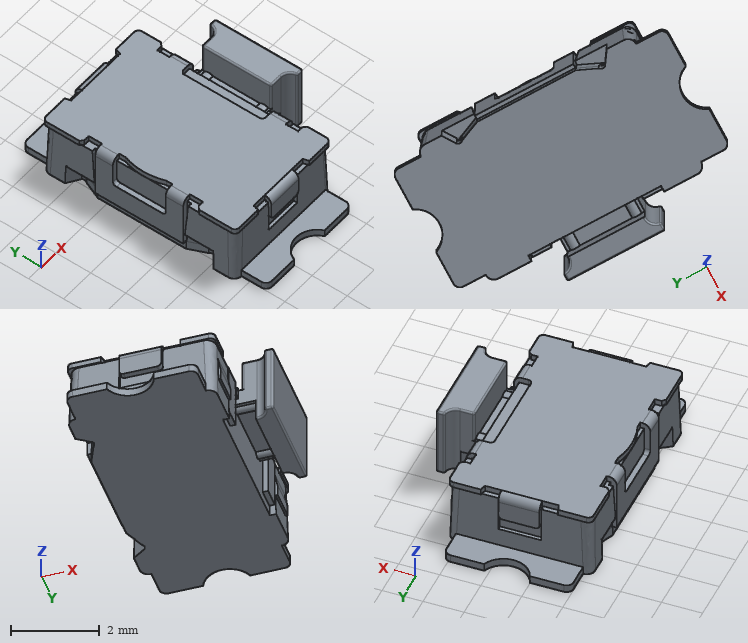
import cadquery as cq
import math


PLATE_WIDTH = 3.1
PLATE_LENGTH = 7.0
PLATE_THICKNESS = 0.2
PLATE_CORNER = 0.17
NOTCH_RADIUS = 0.6
NOTCH_DEPTH = 0.38

BODY_WIDTH = 3.52
BODY_LENGTH = 5.52
BODY_TOP_WIDTH = 3.44
BODY_TOP_LENGTH = 5.46
BODY_TOP = 1.56
BODY_CORNER = 0.21
BODY_TOP_CORNER = 0.24

SHEET = 0.15
COVER_TOP = BODY_TOP + SHEET
COVER_BACK = -1.76
COVER_FRONT = 1.74
COVER_LENGTH = 5.53
COVER_CORNER = 0.13
BEND_RADIUS = 0.2

CLIP_WIDTH = 1.0
CLIP_BOTTOM = 1.02
CLIP_OUTER_Y = 2.8
CLIP_CORNER = 0.1
CLIP_POCKET_WIDTH = 1.04
CLIP_POCKET_BOTTOM = 0.66
CLIP_RELIEF_INNER_HALF = 0.9
CLIP_RELIEF_OUTER_HALF = 0.94
CLIP_RELIEF_DEPTH = 0.155

FLAP_WIDTH = 2.52
FLAP_BOTTOM = 0.26
WINDOW_WIDTH = 1.51
WINDOW_BOTTOM = 0.88
WINDOW_CORNER = 0.1
BULGE_HALF = 0.58
BULGE_HEIGHT = 0.1
BACK_RELIEF_X = -1.515
BACK_RELIEF_HALF = 1.63
RELIEF_CHAMFER = 0.085
FLAP_RECESS_TOP_HALF = 1.37
FLAP_RECESS_BOTTOM_HALF = 1.27

UNDERCUT_TOP = 0.57
UNDERCUT_MOUTH_HALF = 2.12
UNDERCUT_END_HALF = 1.9
UNDERCUT_BED_HALF = 1.745
UNDERCUT_BED_TOP_HALF = 1.85
UNDERCUT_END_SAG = 0.02
UNDERCUT_DEPTH = 0.33
SKIRT_X = -1.66
SKIRT_BED_DEPTH = 0.21
UNDERCUT_LEAN = 0.05

LEG_INNER_Y = 1.176
LEG_OUTER_Y = 1.665
LEG_BOTTOM = FLAP_BOTTOM
FRONT_RELIEF_X = 1.5
FRONT_RELIEF_HALF = 2.01
FRONT_RECESS_X = 1.61
FRONT_RECESS_HALF = 1.7
SLOT_X = 1.285
SLOT_CORNER = 0.1

LATCH_OUTER_Y = 2.43
LATCH_X = 1.795
LATCH_TOP_X = 1.66
LATCH_SHOULDER = 0.85
LATCH_BOTTOM = 0.57

HEAD_FRONT = 2.65
HEAD_HALF = 1.25
HEAD_RIM_X = 2.44
HEAD_BACK = 2.155
HEAD_BOTTOM = 0.495
HEAD_TOP = 2.28
NECK_BACK = 1.82
NECK_HALF = 0.99
NECK_BOTTOM = 1.04
HEAD_EDGE = 0.05
HEAD_END_EDGE = 0.045
STEM_TOP = 1.46
RIB_HALF = 0.12
RIB_Y = 0.79
RIB_TOP_HEIGHT = 0.04
RIB_BOTTOM_HEIGHT = 0.07
EAR_HALF = 1.12
EAR_FRONT = 1.74
EAR_BOTTOM = 1.21
EAR_TOP = 1.5

CUT_MARGIN = 0.5
DIAGONAL = math.sqrt(0.5)


def block(x_range, y_range, z_range):
    """Box given by its limits along each axis."""
    size = [high - low for low, high in (x_range, y_range, z_range)]
    return cq.Workplane("XY").box(*size, centered=False).translate((x_range[0], y_range[0], z_range[0]))


def span(half):
    return (-half, half)


def with_mirror(shape):
    """The shape together with its mirror image across the XZ plane."""
    return shape.union(shape.mirror("XZ"))


def prism(points, bottom, top):
    """Vertical prism over a plan polygon."""
    return cq.Workplane("XY").workplane(offset=bottom).polyline(points).close().extrude(top - bottom)


def bent_tab(width, outer, bottom):
    """Sheet strip leaving the cover along +X and bent down; its outer face is at x = outer."""
    inner = outer - SHEET
    tangent_x = outer - BEND_RADIUS
    tangent_z = COVER_TOP - BEND_RADIUS
    diagonal = BEND_RADIUS * DIAGONAL
    return (
        cq.Workplane("XZ")
        .moveTo(tangent_x, COVER_TOP)
        .threePointArc((tangent_x + diagonal, tangent_z + diagonal), (outer, tangent_z))
        .lineTo(outer, bottom)
        .lineTo(inner, bottom)
        .lineTo(inner, BODY_TOP)
        .lineTo(tangent_x, BODY_TOP)
        .close()
        .extrude(width / 2, both=True)
    )


def make_plate():
    plate = (
        cq.Workplane("XY")
        .rect(PLATE_WIDTH, PLATE_LENGTH)
        .extrude(PLATE_THICKNESS)
        .edges("|Z")
        .fillet(PLATE_CORNER)
    )
    notch_center = PLATE_LENGTH / 2 - NOTCH_DEPTH + NOTCH_RADIUS
    notch = cq.Workplane("XY").center(0, notch_center).circle(NOTCH_RADIUS).extrude(PLATE_THICKNESS)
    return plate.cut(with_mirror(notch))


def undercut_outline(workplane, bed_half, bed_depth):
    """Closed plan of the +Y undercut: slanted bed, rounded end, slanted leg wall."""
    mouth = -BODY_WIDTH / 2
    bed = SKIRT_X + bed_depth
    leg_foot = mouth + UNDERCUT_DEPTH
    round_end = (max(bed, leg_foot) + UNDERCUT_END_SAG, (bed_half + UNDERCUT_END_HALF) / 2)
    return (
        workplane.moveTo(mouth - CUT_MARGIN, FLAP_WIDTH / 2)
        .lineTo(SKIRT_X, FLAP_WIDTH / 2)
        .lineTo(bed, bed_half)
        .threePointArc(round_end, (leg_foot, UNDERCUT_END_HALF))
        .lineTo(mouth, UNDERCUT_MOUTH_HALF)
        .lineTo(mouth - CUT_MARGIN, UNDERCUT_MOUTH_HALF)
        .close()
    )


def make_undercut():
    """Pocket at the +Y side of the flap; its bed leans inward above the flap's lower edge."""
    upper_height = UNDERCUT_TOP - FLAP_BOTTOM
    ground = cq.Workplane("XY")
    lower = undercut_outline(ground, UNDERCUT_BED_HALF, SKIRT_BED_DEPTH).extrude(FLAP_BOTTOM)
    leaning = undercut_outline(
        ground.workplane(offset=FLAP_BOTTOM), UNDERCUT_BED_HALF, SKIRT_BED_DEPTH
    ).workplane(offset=upper_height)
    leaning = undercut_outline(
        leaning, UNDERCUT_BED_TOP_HALF, SKIRT_BED_DEPTH + UNDERCUT_LEAN
    ).loft(ruled=True)
    return lower.union(leaning)


def make_latch():
    """Wedge on the front wall, on the +Y side."""
    return (
        cq.Workplane("XZ", origin=(0, LATCH_OUTER_Y, 0))
        .moveTo(FRONT_RELIEF_X, BODY_TOP)
        .lineTo(LATCH_TOP_X, BODY_TOP)
        .lineTo(LATCH_X, LATCH_SHOULDER)
        .lineTo(LATCH_X, LATCH_BOTTOM)
        .lineTo(FRONT_RELIEF_X, LATCH_BOTTOM)
        .close()
        .extrude(LATCH_OUTER_Y - FRONT_RECESS_HALF)
    )


def make_body():
    bottom = cq.Sketch().rect(BODY_WIDTH, BODY_LENGTH).vertices().fillet(BODY_CORNER)
    top = cq.Sketch().rect(BODY_TOP_WIDTH, BODY_TOP_LENGTH).vertices().fillet(BODY_TOP_CORNER)
    body = cq.Workplane("XY").placeSketch(bottom, top.moved(cq.Location(cq.Vector(0, 0, BODY_TOP)))).loft()

    flap_recess = (
        cq.Workplane("YZ", origin=(COVER_BACK + SHEET, 0, 0))
        .polyline([
            (-FLAP_RECESS_BOTTOM_HALF, FLAP_BOTTOM),
            (FLAP_RECESS_BOTTOM_HALF, FLAP_BOTTOM),
            (FLAP_RECESS_TOP_HALF, BODY_TOP),
            (-FLAP_RECESS_TOP_HALF, BODY_TOP),
        ])
        .close()
        .extrude(-CUT_MARGIN)
    )
    front_recess = block(
        (FRONT_RECESS_X, FRONT_RECESS_X + CUT_MARGIN), span(FRONT_RECESS_HALF), (0, BODY_TOP))
    skirt_recess = block((SKIRT_X - CUT_MARGIN, SKIRT_X), span(FLAP_WIDTH / 2), (0, FLAP_BOTTOM))
    clip_pocket = block(
        span(CLIP_POCKET_WIDTH / 2),
        (CLIP_OUTER_Y - SHEET, CLIP_OUTER_Y + CUT_MARGIN),
        (CLIP_POCKET_BOTTOM, BODY_TOP),
    )
    recesses = (
        flap_recess,
        front_recess,
        skirt_recess,
        with_mirror(clip_pocket),
    )
    for recess in recesses:
        body = body.cut(recess)
    return body.union(with_mirror(make_latch()))


def side_relief(edge_x, inner_x, half):
    """Opening in a long edge of the cover, with chamfered ends; works for either edge."""
    outward = 1 if edge_x > 0 else -1
    neck_x = edge_x - outward * RELIEF_CHAMFER
    wide = half + RELIEF_CHAMFER
    beyond = edge_x + outward * CUT_MARGIN
    plan = [(inner_x, half), (neck_x, half), (edge_x, wide), (beyond, wide)]
    plan += [(x, -y) for x, y in reversed(plan)]
    return prism(plan, BODY_TOP, COVER_TOP)


def make_cover():
    cover = (
        block((COVER_BACK, COVER_FRONT), span(COVER_LENGTH / 2), (BODY_TOP, COVER_TOP))
        .edges("|Z")
        .fillet(COVER_CORNER)
    )
    cover = cover.cut(side_relief(COVER_BACK, BACK_RELIEF_X, BACK_RELIEF_HALF))
    cover = cover.cut(side_relief(COVER_FRONT, FRONT_RELIEF_X, FRONT_RELIEF_HALF))
    end_y = COVER_LENGTH / 2
    relief_y = end_y - CLIP_RELIEF_DEPTH
    end_relief = prism(
        [
            (-CLIP_RELIEF_OUTER_HALF, end_y),
            (-CLIP_RELIEF_INNER_HALF, relief_y),
            (CLIP_RELIEF_INNER_HALF, relief_y),
            (CLIP_RELIEF_OUTER_HALF, end_y),
        ],
        BODY_TOP,
        COVER_TOP,
    )
    cover = cover.cut(with_mirror(end_relief))

    clip = bent_tab(CLIP_WIDTH, CLIP_OUTER_Y, CLIP_BOTTOM)
    clip = clip.edges("|X and <Z").fillet(CLIP_CORNER)
    clip = clip.rotate((0, 0, 0), (0, 0, 1), 90)
    cover = cover.union(with_mirror(clip))

    leg_width = LEG_OUTER_Y - LEG_INNER_Y
    leg = bent_tab(leg_width, COVER_FRONT, LEG_BOTTOM).translate((0, LEG_INNER_Y + leg_width / 2, 0))
    root = block(
        (FRONT_RELIEF_X, COVER_FRONT - BEND_RADIUS), (LEG_INNER_Y, LEG_OUTER_Y), (BODY_TOP, COVER_TOP))
    slot = (
        block((SLOT_X, COVER_FRONT), span(LEG_INNER_Y), (BODY_TOP, COVER_TOP))
        .edges("|Z and <X")
        .fillet(SLOT_CORNER)
    )
    cover = cover.union(with_mirror(leg.union(root))).cut(slot)
    return cover.union(make_flap())


def make_flap():
    """Back flap with its window, and the bulged cover edge above the window."""
    flap = bent_tab(FLAP_WIDTH, -COVER_BACK, FLAP_BOTTOM).rotate((0, 0, 0), (0, 0, 1), 180)
    root = block(
        (COVER_BACK + BEND_RADIUS, BACK_RELIEF_X), span(FLAP_WIDTH / 2), (BODY_TOP, COVER_TOP))
    window = (
        block(
            (COVER_BACK - CUT_MARGIN, BACK_RELIEF_X),
            span(WINDOW_WIDTH / 2),
            (WINDOW_BOTTOM, COVER_TOP + CUT_MARGIN),
        )
        .edges("|X and <Z")
        .fillet(WINDOW_CORNER)
    )
    bulge = (
        cq.Workplane("XY", origin=(BACK_RELIEF_X, 0, BODY_TOP))
        .moveTo(0, -BULGE_HALF)
        .threePointArc((-BULGE_HEIGHT, 0), (0, BULGE_HALF))
        .close()
        .extrude(SHEET)
    )
    return flap.union(root).cut(window).union(bulge)


def stem_rib(base_z, height):
    """Low rounded rib along the stem, on the +Y side; a negative height points down."""
    return (
        cq.Workplane("YZ", origin=(SLOT_X, RIB_Y, base_z))
        .moveTo(-RIB_HALF, 0)
        .threePointArc((0, height), (RIB_HALF, 0))
        .close()
        .extrude(HEAD_BACK - SLOT_X)
    )


def make_button():
    flare = HEAD_HALF - NECK_HALF
    flare_start = HEAD_RIM_X - flare
    diagonal = flare * DIAGONAL
    arc_x = flare_start + diagonal
    arc_y = HEAD_HALF - diagonal
    head = (
        cq.Workplane("XY", origin=(0, 0, HEAD_BOTTOM))
        .moveTo(NECK_BACK, -NECK_HALF)
        .lineTo(flare_start, -NECK_HALF)
        .threePointArc((arc_x, -arc_y), (HEAD_RIM_X, -HEAD_HALF))
        .lineTo(HEAD_FRONT, -HEAD_HALF)
        .lineTo(HEAD_FRONT, HEAD_HALF)
        .lineTo(HEAD_RIM_X, HEAD_HALF)
        .threePointArc((arc_x, arc_y), (flare_start, NECK_HALF))
        .lineTo(NECK_BACK, NECK_HALF)
        .close()
        .extrude(HEAD_TOP - HEAD_BOTTOM)
    )
    head = head.edges("|Z and (>Y or <Y or <X)").fillet(HEAD_EDGE)
    head = head.faces("<Z or >Z").edges().fillet(HEAD_END_EDGE)
    head = head.cut(block((NECK_BACK, HEAD_BACK), span(HEAD_HALF), (HEAD_BOTTOM, NECK_BOTTOM)))

    stem = block((FRONT_RELIEF_X, HEAD_BACK), span(NECK_HALF), (NECK_BOTTOM, STEM_TOP))
    ears = block((FRONT_RELIEF_X, EAR_FRONT), span(EAR_HALF), (EAR_BOTTOM, EAR_TOP))
    ears = ears.edges("|X and >Z").fillet(EAR_HALF - NECK_HALF)
    ears = ears.cut(block((FRONT_RECESS_X, EAR_FRONT), span(NECK_HALF), (STEM_TOP, EAR_TOP)))
    button = head.union(stem).union(ears)
    button = button.union(with_mirror(stem_rib(STEM_TOP, RIB_TOP_HEIGHT)))
    return button.union(with_mirror(stem_rib(NECK_BOTTOM, -RIB_BOTTOM_HEIGHT)))


housing = make_plate().union(make_body()).cut(with_mirror(make_undercut()))
result = housing.union(make_cover()).union(make_button())